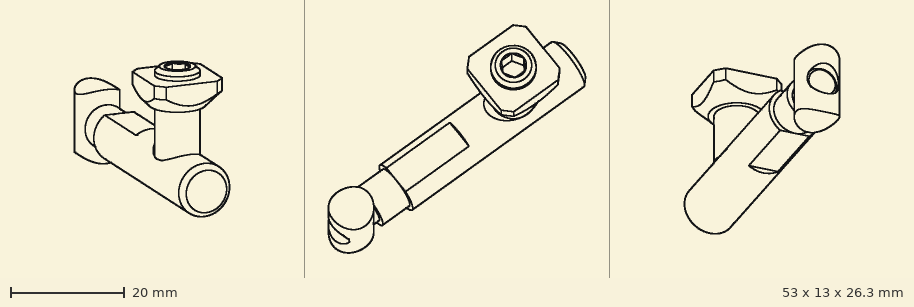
import cadquery as cq
import math

total_length = 53.0
head_diameter = 8.0
head_height = 13.55
neck_diameter = 6.0
neck_end_chamfer = 0.5
neck_end_x = 1.7
collar_diameter = 8.0
collar_start_x = head_diameter
shaft_diameter = 9.75
shaft_start_x = 13.95
shaft_end_chamfer = 1.0
flat_length = 14.05
flat_spacing = collar_diameter

screw_x = 39.95
screw_diameter = 8.0
screw_top_z = 19.5
screw_chamfer = 0.8
seat_floor_diameter = 6.8
seat_floor_z = 2.45
socket_across_flats = 4.0
socket_depth = 4.0
socket_mouth_slope = math.tan(math.radians(30))

nut_width = 13.0
nut_top_z = 17.9
nut_height = 5.4
nut_corner_chamfer = 1.6
nut_underside_diameter = 10.05


def rod(diameter, start_x, end_x):
    """Round bar along the X axis."""
    return cq.Workplane("YZ", origin=(start_x, 0, 0)).circle(diameter / 2).extrude(end_x - start_x)


def upright_cone(bottom_diameter, bottom_z, height):
    """45 degree cone frustum on the screw axis, widening upward."""
    bottom_radius = bottom_diameter / 2
    axis = cq.Vector(screw_x, 0, bottom_z)
    return cq.Workplane(cq.Solid.makeCone(
        bottom_radius, bottom_radius + height, height, axis, cq.Vector(0, 0, 1)
    ))


def make_head():
    """Upright round head with domed ends and a bore for the neck."""
    head_radius = head_diameter / 2
    post = (
        cq.Workplane("XY", origin=(head_radius, 0, -head_height / 2))
        .circle(head_radius).extrude(head_height)
    )
    ends = rod(head_height, 0, head_diameter)
    bore = rod(neck_diameter, 0, head_diameter)
    return post.intersect(ends).cut(bore)


def make_shaft():
    """Neck, collar and shaft with two wrench flats and a chamfered end."""
    neck = rod(neck_diameter, neck_end_x, collar_start_x).faces("<X").chamfer(neck_end_chamfer)
    collar = rod(collar_diameter, collar_start_x, shaft_start_x)
    shaft = rod(shaft_diameter, shaft_start_x, total_length).faces(">X").chamfer(shaft_end_chamfer)
    flat_depth = (shaft_diameter - flat_spacing) / 2
    for side in (-1, 1):
        flat_cut = cq.Workplane("XY").box(flat_length, shaft_diameter, flat_depth).translate(
            (shaft_start_x + flat_length / 2, 0, side * (flat_spacing + flat_depth) / 2)
        )
        shaft = shaft.cut(flat_cut)
    return shaft.union(collar).union(neck)


def make_anchor():
    seat = upright_cone(seat_floor_diameter, seat_floor_z, shaft_diameter / 2)
    return make_shaft().cut(seat).union(make_head())


def make_screw():
    """Set screw with a tapered tip resting in the seat and a hex socket on top."""
    blank = (
        cq.Workplane("XY", origin=(screw_x, 0, seat_floor_z))
        .circle(screw_diameter / 2).extrude(screw_top_z - seat_floor_z)
        .faces(">Z").chamfer(screw_chamfer)
        .faces("<Z").chamfer((screw_diameter - seat_floor_diameter) / 2)
    )
    across_corners = socket_across_flats / math.cos(math.pi / 6)
    socket = (
        cq.Workplane("XY", origin=(screw_x, 0, screw_top_z))
        .polygon(6, across_corners).extrude(-socket_depth)
    )
    mouth_radius = across_corners / 2
    mouth = cq.Workplane(cq.Solid.makeCone(
        mouth_radius, 0, mouth_radius * socket_mouth_slope,
        cq.Vector(screw_x, 0, screw_top_z), cq.Vector(0, 0, -1)
    ))
    return blank.cut(socket).cut(mouth)


def make_nut():
    """Square nut with clipped corners and a conical underside."""
    bottom_z = nut_top_z - nut_height
    block = (
        cq.Workplane("XY", origin=(screw_x, 0, bottom_z))
        .rect(nut_width, nut_width).extrude(nut_height)
        .edges("|Z").chamfer(nut_corner_chamfer)
    )
    underside = upright_cone(nut_underside_diameter, bottom_z, nut_height)
    hole = (
        cq.Workplane("XY", origin=(screw_x, 0, bottom_z))
        .circle(screw_diameter / 2).extrude(nut_height)
    )
    return block.intersect(underside).cut(hole)


anchor = make_anchor()
screw = make_screw()
nut = make_nut()

result = cq.Compound.makeCompound([anchor.solids().val(), screw.solids().val(), nut.solids().val()])